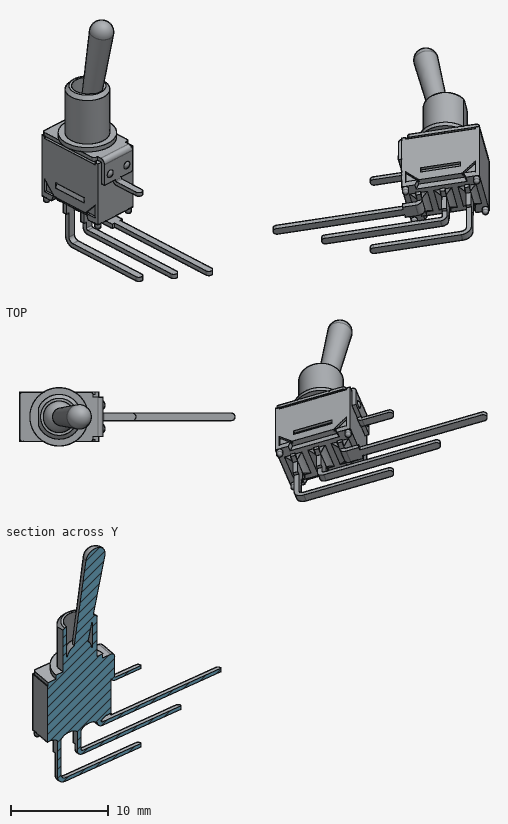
import cadquery as cq
import math

OVERALL_LENGTH = 22.1
OVERALL_HEIGHT = 28.59
OVERLAP = 0.1

HOUSING_LENGTH = 8.14
HOUSING_WIDTH = 5.1
HOUSING_HEIGHT = 7.31
PANEL_LENGTH = 7.32
PANEL_BOTTOM = 0.69
PANEL_DEPTH = 0.25
POCKET_HEIGHT = 1.5
POCKET_LENGTH = 1.4
LOUVER_LENGTH = 4.15
LOUVER_BOTTOM = 1.8
LOUVER_HEIGHT = 0.63
LOUVER_DEPTH = 0.3
NOTCH_TOP_LENGTH = 4.8
NOTCH_BOTTOM_LENGTH = 5.34
NOTCH_DEPTH = 0.6

STANDOFF_DIAMETER = 0.65
STANDOFF_HEIGHT = 0.43
STANDOFF_INSET = 0.35

SHEET = 0.44
COVER_WIDTH = 5.04
COVER_START_X = -4.0
COVER_SHOULDER_X = 3.49
COVER_CORNER_RADIUS = 0.27
TAB_WIDTH = 4.05
TAB_BOTTOM = 4.72
TAB_BEND_INNER = 0.1
TAB_LEG_TOP = 4.5
RIVET_SPACING = 2.4
RIVET_Z = 5.78
RIVET_RADIUS = 0.43
RIVET_HEIGHT = 0.2

WASHER_DIAMETER = 6.0
WASHER_THICKNESS = 0.52
BUSHING_DIAMETER = 4.6
BUSHING_FLAT_X = -2.1
BUSHING_HEIGHT = 5.61
BUSHING_CHAMFER = 0.4
BORE_DIAMETER = 3.25

PIVOT_Z = 9.55
LEVER_TILT = 10.0
LEVER_TIP_RADIUS = 1.26
LEVER_NECK_RADIUS = 0.88
LEVER_LENGTH = 11.8

PITCH = 2.54
PIN_THICKNESS = 0.52
PIN_WIDTH = 0.8
PIN_WIDE = 1.46
PIN_SHOULDER_WIDTH = 3.05
PIN_SHOULDER_HEIGHT = 0.42
PIN_STEP_Z = -2.23
PIN_STEP_X = 4.35
PIN_BEND_INNER = 0.18
LONG_DROP_BEND_INNER = 0.55

COLLAR_REACH_X = 0.95
COLLAR_REACH_Y = 1.4
COLLAR_ROOT_Y = 0.9
COLLAR_MID_REACH = 0.35

cover_top = HOUSING_HEIGHT + SHEET
washer_top = cover_top + WASHER_THICKNESS
bushing_top = washer_top + BUSHING_HEIGHT
tilt = math.radians(LEVER_TILT)
tip_x = OVERALL_LENGTH - HOUSING_LENGTH / 2
lever_top = PIVOT_Z + LEVER_LENGTH * math.cos(tilt) + LEVER_TIP_RADIUS
lowest_z = lever_top - OVERALL_HEIGHT


def block(x_range, y_width, z_range):
    """Box centred on Y between the given X and Z limits."""
    length = x_range[1] - x_range[0]
    height = z_range[1] - z_range[0]
    centre = (sum(x_range) / 2, 0, sum(z_range) / 2)
    return cq.Workplane("XY").box(length, y_width, height).translate(centre)


def prism(points, depth):
    """Closed XZ outline cut from the -Y side face of the housing inwards."""
    start = (0, -HOUSING_WIDTH / 2, 0)
    return cq.Workplane("XZ", origin=start).polyline(points).close().extrude(-depth)


def mirrored(cutter):
    """The cutter and its mirror image on the +Y side."""
    return cutter.union(cutter.mirror("XZ"))


def make_housing():
    half = HOUSING_LENGTH / 2
    housing = block((-half, half), HOUSING_WIDTH, (0, HOUSING_HEIGHT))
    edge = PANEL_LENGTH / 2
    for side in (-1, 1):
        pocket = prism(
            [
                (side * edge, PANEL_BOTTOM),
                (side * edge, PANEL_BOTTOM + POCKET_HEIGHT),
                (side * (edge - POCKET_LENGTH), PANEL_BOTTOM),
            ],
            PANEL_DEPTH,
        )
        housing = housing.cut(mirrored(pocket))

    face_y = -HOUSING_WIDTH / 2
    bevel = (
        cq.Workplane("YZ", origin=(-edge, 0, 0))
        .moveTo(face_y, HOUSING_HEIGHT - PANEL_DEPTH)
        .lineTo(face_y, HOUSING_HEIGHT)
        .lineTo(face_y + PANEL_DEPTH, HOUSING_HEIGHT)
        .close()
        .extrude(PANEL_LENGTH)
    )
    louver_top = LOUVER_BOTTOM + LOUVER_HEIGHT
    louver = (
        cq.Workplane("YZ", origin=(-LOUVER_LENGTH / 2, 0, 0))
        .moveTo(face_y, LOUVER_BOTTOM)
        .lineTo(face_y, louver_top)
        .lineTo(face_y + LOUVER_DEPTH, louver_top)
        .close()
        .extrude(LOUVER_LENGTH)
    )
    notch = prism(
        [
            (-NOTCH_BOTTOM_LENGTH / 2, 0),
            (NOTCH_BOTTOM_LENGTH / 2, 0),
            (NOTCH_TOP_LENGTH / 2, PANEL_BOTTOM),
            (-NOTCH_TOP_LENGTH / 2, PANEL_BOTTOM),
        ],
        NOTCH_DEPTH,
    )
    for cutter in (bevel, louver, notch):
        housing = housing.cut(mirrored(cutter))
    return housing


def make_standoffs():
    spacing_x = HOUSING_LENGTH - 2 * STANDOFF_INSET
    spacing_y = HOUSING_WIDTH - 2 * STANDOFF_INSET
    radius = STANDOFF_DIAMETER / 2
    standoff = (
        cq.Workplane("XZ")
        .moveTo(0, OVERLAP)
        .lineTo(radius, OVERLAP)
        .lineTo(radius, -STANDOFF_HEIGHT)
        .radiusArc((0, -STANDOFF_HEIGHT - radius), radius)
        .lineTo(0, OVERLAP)
        .close()
        .revolve(360, (0, 0), (0, 1))
    )
    corners = cq.Workplane("XY").rect(spacing_x, spacing_y, forConstruction=True).vertices()
    return corners.eachpoint(lambda place: standoff.val().moved(place))


def strip_with_round_end(x_start, x_end, width, z_range):
    """Flat horizontal strip along X with a full round at its +X end."""
    radius = width / 2
    straight = block((x_start, x_end - radius), width, z_range)
    nose = (
        cq.Workplane("XY", origin=(x_end - radius, 0, z_range[0]))
        .circle(radius)
        .extrude(z_range[1] - z_range[0])
    )
    return straight.union(nose)


def elbow(x_left, z_bottom, thickness, inner_radius, width):
    """Quarter bend joining a strip from above to a strip towards +X."""
    outer = inner_radius + thickness
    centre_x = x_left + outer
    centre_z = z_bottom + outer
    sine = math.sin(math.pi / 4)
    return (
        cq.Workplane("XZ")
        .moveTo(x_left, centre_z)
        .threePointArc(
            (centre_x - outer * sine, centre_z - outer * sine), (centre_x, z_bottom)
        )
        .lineTo(centre_x, z_bottom + thickness)
        .threePointArc(
            (centre_x - inner_radius * sine, centre_z - inner_radius * sine),
            (x_left + thickness, centre_z),
        )
        .close()
        .extrude(width / 2, both=True)
    )


def make_cover():
    tab_x = HOUSING_LENGTH / 2
    tab_outer = tab_x + SHEET
    plate = block(
        (COVER_START_X, COVER_SHOULDER_X), COVER_WIDTH, (HOUSING_HEIGHT, cover_top)
    )
    plate = plate.edges("|Z").fillet(COVER_CORNER_RADIUS)

    bridge = block((0, tab_outer), TAB_WIDTH, (HOUSING_HEIGHT, cover_top))
    tab = block((tab_x, tab_outer), TAB_WIDTH, (TAB_BOTTOM, cover_top))
    fold = bridge.union(tab).edges("|Y and >X and >Z").fillet(SHEET + TAB_BEND_INNER)

    leg_bottom = TAB_LEG_TOP - SHEET
    bend_end = TAB_BEND_INNER + SHEET
    leg_end = tip_x - 4 * PITCH
    bend = elbow(tab_x, leg_bottom, SHEET, TAB_BEND_INNER, PIN_WIDTH)
    neck = block((tab_x, tab_outer), PIN_WIDTH, (leg_bottom + bend_end, TAB_BOTTOM))
    leg = strip_with_round_end(
        tab_x + bend_end, leg_end, PIN_WIDTH, (leg_bottom, TAB_LEG_TOP)
    )
    return plate.union(fold).union(neck).union(bend).union(leg)


def make_rivets():
    """Low domes on the outer face of the ground tab."""
    face_x = HOUSING_LENGTH / 2 + SHEET
    sphere_radius = (RIVET_RADIUS**2 + RIVET_HEIGHT**2) / (2 * RIVET_HEIGHT)
    rivets = cq.Workplane("XY")
    for side in (-1, 1):
        dome = (
            cq.Workplane("XY", origin=(face_x - OVERLAP, side * RIVET_SPACING / 2, RIVET_Z))
            .lineTo(OVERLAP + RIVET_HEIGHT, 0)
            .radiusArc((OVERLAP, RIVET_RADIUS), -sphere_radius)
            .lineTo(0, RIVET_RADIUS)
            .close()
            .revolve(360, (0, 0), (1, 0))
        )
        rivets = rivets.union(dome)
    return rivets


def make_bushing():
    washer = (
        cq.Workplane("XY", origin=(0, 0, cover_top))
        .circle(WASHER_DIAMETER / 2)
        .extrude(WASHER_THICKNESS)
    )
    barrel = (
        cq.Workplane("XY", origin=(0, 0, washer_top))
        .circle(BUSHING_DIAMETER / 2)
        .extrude(BUSHING_HEIGHT)
        .faces(">Z")
        .chamfer(BUSHING_CHAMFER)
    )
    flat = block(
        (-BUSHING_DIAMETER, BUSHING_FLAT_X), BUSHING_DIAMETER, (washer_top, bushing_top)
    )
    bore = (
        cq.Workplane("XY", origin=(0, 0, cover_top))
        .circle(BORE_DIAMETER / 2)
        .extrude(bushing_top - cover_top)
    )
    return washer.union(barrel.cut(flat)).cut(bore)


def make_lever():
    """Pivot ball filling the bore, and a tapered handle with a round tip."""
    ball_radius = BORE_DIAMETER / 2
    ball = cq.Workplane("XY").sphere(ball_radius)
    handle = (
        cq.Workplane("XZ")
        .lineTo(LEVER_NECK_RADIUS, 0)
        .lineTo(LEVER_TIP_RADIUS, LEVER_LENGTH)
        .radiusArc((0, LEVER_LENGTH + LEVER_TIP_RADIUS), -LEVER_TIP_RADIUS)
        .close()
        .revolve(360, (0, 0), (0, 1))
        .rotate((0, 0, 0), (0, 1, 0), LEVER_TILT)
    )
    seat = (
        cq.Workplane("XY", origin=(0, 0, cover_top - PIVOT_Z))
        .circle(ball_radius)
        .extrude(PIVOT_Z - cover_top)
    )
    return seat.union(ball).union(handle).translate((0, 0, PIVOT_Z))


def make_pin(x_centre, z_bottom, x_end, bend_inner, stepped_on_drop):
    """Terminal dropping from the housing and turning towards +X."""
    x_left = x_centre - PIN_THICKNESS / 2
    x_right = x_centre + PIN_THICKNESS / 2
    bend_outer = bend_inner + PIN_THICKNESS
    z_range = (z_bottom, z_bottom + PIN_THICKNESS)
    bend_width = PIN_WIDTH if stepped_on_drop else PIN_WIDE

    shoulder = block((x_left, x_right), PIN_SHOULDER_WIDTH, (-PIN_SHOULDER_HEIGHT, OVERLAP))
    drop = block((x_left, x_right), bend_width, (z_bottom + bend_outer, OVERLAP))
    bend = elbow(x_left, z_bottom, PIN_THICKNESS, bend_inner, bend_width)
    run = strip_with_round_end(x_left + bend_outer, x_end, PIN_WIDTH, z_range)
    if stepped_on_drop:
        wide_part = block((x_left, x_right), PIN_WIDE, (PIN_STEP_Z, OVERLAP))
    else:
        wide_part = block((x_left + bend_outer, PIN_STEP_X), PIN_WIDE, z_range)
    return shoulder.union(drop).union(bend).union(run).union(wide_part)


def flare(plane, reach, root, length):
    """Ridge narrowing downwards in a hollow curve, extruded both ways."""
    bottom = -PIN_SHOULDER_HEIGHT
    middle = (root + (reach - root) * COLLAR_MID_REACH, bottom / 2)
    return (
        cq.Workplane(plane)
        .moveTo(-reach, OVERLAP)
        .lineTo(reach, OVERLAP)
        .lineTo(reach, 0)
        .threePointArc(middle, (root, bottom))
        .lineTo(-root, bottom)
        .threePointArc((-middle[0], middle[1]), (-reach, 0))
        .close()
        .extrude(length, both=True)
    )


def make_collar(x_centre):
    """Sealant meniscus, hollow-sided both along X and along Y."""
    along_x = flare("XZ", COLLAR_REACH_X, PIN_THICKNESS / 2, COLLAR_REACH_Y)
    along_y = flare("YZ", COLLAR_REACH_Y, COLLAR_ROOT_Y, COLLAR_REACH_X)
    return along_x.intersect(along_y).translate((x_centre, 0, 0))


result = make_housing().union(make_standoffs()).union(make_cover()).union(make_rivets())
result = result.union(make_bushing()).union(make_lever())

bend_radii = (LONG_DROP_BEND_INNER, PIN_BEND_INNER, PIN_BEND_INNER)
for index, bend_radius in enumerate(bend_radii):
    pin_x = (index - 1) * PITCH
    pin_bottom = lowest_z + index * PITCH
    pin_end = tip_x - (2 - index) * 2 * PITCH
    is_last = index == len(bend_radii) - 1
    pin = make_pin(pin_x, pin_bottom, pin_end, bend_radius, not is_last)
    result = result.union(pin).union(make_collar(pin_x))